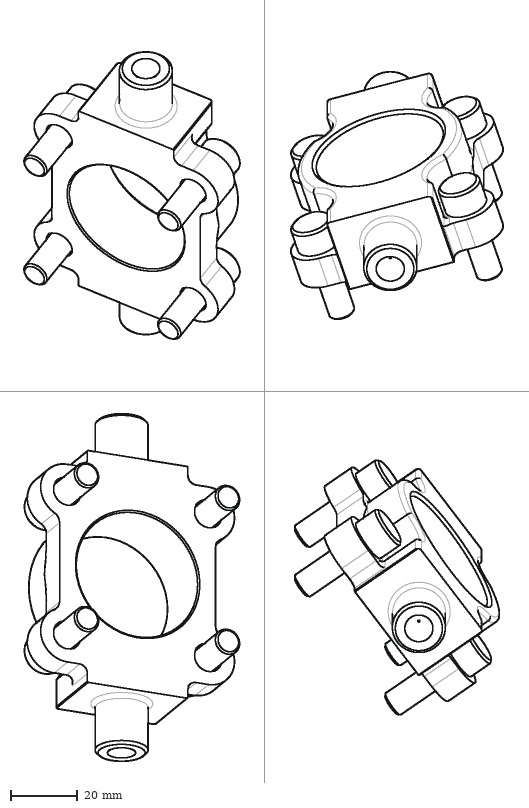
import cadquery as cq
import math


body_depth = 24.0
bore_diameter = 40.0
bore_front_chamfer = 0.5
bore_back_chamfer = 1.0
side_half_width = 25.75
block_half_width = 16.6
block_half_height = 37.5
block_corner_chamfer = 0.25
block_notch_radius = 2.6
edge_radius = 1.3

screw_offset = 23.25
lug_radius = 8.72
lug_thickness = 10.0
lug_neck_radius = 3.2
head_pocket_radius = 8.5
screw_hole_diameter = 9.0
screw_diameter = 8.0
screw_length = 25.0
screw_tip_chamfer = 0.6
head_diameter = 13.0
head_height = 8.0
head_chamfer = 0.8

trunnion_diameter = 16.0
trunnion_span = 106.96
trunnion_chamfer = 0.9
trunnion_foot_radius = 1.35
centre_hole_diameter = 8.5
centre_hole_tip_diameter = 0.6
centre_hole_angle = 60.0

bore_radius = bore_diameter / 2
trunnion_radius = trunnion_diameter / 2
trunnion_half_span = trunnion_span / 2
centre_hole_radius = centre_hole_diameter / 2
centre_hole_tip_radius = centre_hole_tip_diameter / 2
centre_hole_taper = centre_hole_radius - centre_hole_tip_radius
centre_hole_depth = centre_hole_taper / math.tan(math.radians(centre_hole_angle / 2))
trunnion_root = (bore_radius + block_half_height) / 2
screw_places = [(x * screw_offset, z * screw_offset) for x in (-1, 1) for z in (-1, 1)]


def plane_at(y):
    """Sketch plane at depth y: local x is X, local y is Z, and it faces -Y."""
    return cq.Workplane("XZ", origin=(0, y, 0))


def flange_quarter(depth):
    """One quarter (+X, +Z) of the flange, lug included, from the mounting face to the given depth."""
    lug_top = screw_offset + lug_radius
    notch_x = block_half_width + block_notch_radius
    notch_z = lug_top + block_notch_radius
    notch_bulge = block_notch_radius * math.sin(math.radians(45))

    neck_x = side_half_width + lug_neck_radius
    across = neck_x - screw_offset
    down = math.sqrt((lug_radius + lug_neck_radius) ** 2 - across**2)
    neck_z = screw_offset - down
    share = lug_radius / (lug_radius + lug_neck_radius)
    neck_end = (screw_offset + share * across, screw_offset - share * down)
    half_turn = math.atan2(down, across) / 2
    neck_middle = (
        neck_x - lug_neck_radius * math.cos(half_turn),
        neck_z + lug_neck_radius * math.sin(half_turn),
    )

    return (
        plane_at(depth)
        .lineTo(side_half_width, 0)
        .lineTo(side_half_width, neck_z)
        .threePointArc(neck_middle, neck_end)
        .threePointArc((screw_offset + lug_radius, screw_offset), (screw_offset, lug_top))
        .lineTo(notch_x, lug_top)
        .threePointArc((notch_x - notch_bulge, notch_z - notch_bulge), (block_half_width, notch_z))
        .lineTo(block_half_width, block_half_height - block_corner_chamfer)
        .lineTo(block_half_width - block_corner_chamfer, block_half_height)
        .lineTo(0, block_half_height)
        .close()
        .extrude(depth)
    )


def flange_plate(depth):
    """Full flange, mirrored from its quarter."""
    half = flange_quarter(depth)
    half = half.union(half.mirror("YZ"))
    return half.union(half.mirror("XY")).clean()


def wall_profile(half_width, back_turn):
    """Half section from a middle axis out to a wall, from the lug face to the back face.

    The wall's foot flares outwards when back_turn is -1 (a solid, rounded off at the back)
    and draws inwards when it is 1 (a pocket, widened at the back).
    """
    foot_x = half_width - back_turn * edge_radius
    back_x = half_width + back_turn * edge_radius
    foot_end = lug_thickness + edge_radius
    back_start = body_depth - edge_radius
    slack = edge_radius * (1 - math.sin(math.radians(45)))
    return (
        cq.Workplane("XY")
        .moveTo(0, lug_thickness)
        .lineTo(foot_x, lug_thickness)
        .threePointArc((half_width - back_turn * slack, lug_thickness + slack), (half_width, foot_end))
        .lineTo(half_width, back_start)
        .threePointArc((half_width + back_turn * slack, body_depth - slack), (back_x, body_depth))
        .lineTo(0, body_depth)
        .close()
    )


def raised_ring():
    """Round centre behind the lugs, coaxial with the bore."""
    return wall_profile(side_half_width, -1).revolve(360, (0, 0, 0), (0, 1, 0))


def raised_block():
    """Straight centre behind the lugs, from trunnion to trunnion."""
    half = wall_profile(block_half_width, -1).extrude(block_half_height, both=True)
    return half.union(half.mirror("YZ"))


def head_pockets():
    """Round clearances that the screw heads need in the raised centre."""
    pocket = wall_profile(head_pocket_radius, 1).revolve(360, (0, 0, 0), (0, 1, 0))
    pockets = cq.Workplane()
    for x, z in screw_places:
        pockets = pockets.union(pocket.translate((x, 0, z)))
    return pockets


def trunnion():
    """Upper trunnion with its flared foot; the end face carries a centre hole."""
    foot_radius = trunnion_radius + trunnion_foot_radius
    foot_top = block_half_height + trunnion_foot_radius
    slack = trunnion_foot_radius * (1 - math.sin(math.radians(45)))
    return (
        cq.Workplane("XZ", origin=(0, body_depth / 2, 0))
        .moveTo(0, trunnion_root)
        .lineTo(trunnion_radius, trunnion_root)
        .lineTo(trunnion_radius, block_half_height)
        .lineTo(foot_radius, block_half_height)
        .threePointArc((trunnion_radius + slack, block_half_height + slack), (trunnion_radius, foot_top))
        .lineTo(trunnion_radius, trunnion_half_span - trunnion_chamfer)
        .lineTo(trunnion_radius - trunnion_chamfer, trunnion_half_span)
        .lineTo(centre_hole_radius, trunnion_half_span)
        .lineTo(centre_hole_tip_radius, trunnion_half_span - centre_hole_depth)
        .lineTo(0, trunnion_half_span - centre_hole_depth)
        .close()
        .revolve(360, (0, 0, 0), (0, 1, 0))
    )


def bore():
    """Through bore with a chamfer at each mouth."""
    return (
        cq.Workplane("XY")
        .lineTo(bore_radius + bore_front_chamfer, 0)
        .lineTo(bore_radius, bore_front_chamfer)
        .lineTo(bore_radius, body_depth - bore_back_chamfer)
        .lineTo(bore_radius + bore_back_chamfer, body_depth)
        .lineTo(0, body_depth)
        .close()
        .revolve(360, (0, 0, 0), (0, 1, 0))
    )


def make_housing():
    """Flange, raised centre and both trunnions in one solid."""
    lug_plate = flange_plate(lug_thickness)
    centre = raised_ring().union(raised_block()).cut(head_pockets()).intersect(flange_plate(body_depth))
    upper_trunnion = trunnion()
    body = lug_plate.union(centre).union(upper_trunnion).union(upper_trunnion.mirror("XY"))
    screw_holes = plane_at(lug_thickness).pushPoints(screw_places)
    screw_holes = screw_holes.circle(screw_hole_diameter / 2).extrude(lug_thickness)
    return body.cut(bore()).cut(screw_holes)


def make_screw(x, z):
    """Cap screw whose head rests on the lug; the shank passes through to -Y."""
    shank = cq.Workplane("XZ", origin=(x, lug_thickness, z)).circle(screw_diameter / 2).extrude(screw_length)
    shank = shank.faces("<Y").chamfer(screw_tip_chamfer)
    head = cq.Workplane("XZ", origin=(x, lug_thickness, z)).circle(head_diameter / 2).extrude(-head_height)
    head = head.faces(">Y").chamfer(head_chamfer)
    return shank.union(head)


housing = make_housing()
screws = [make_screw(x, z) for x, z in screw_places]
result = cq.Compound.makeCompound([housing.val(), *[screw.val() for screw in screws]])